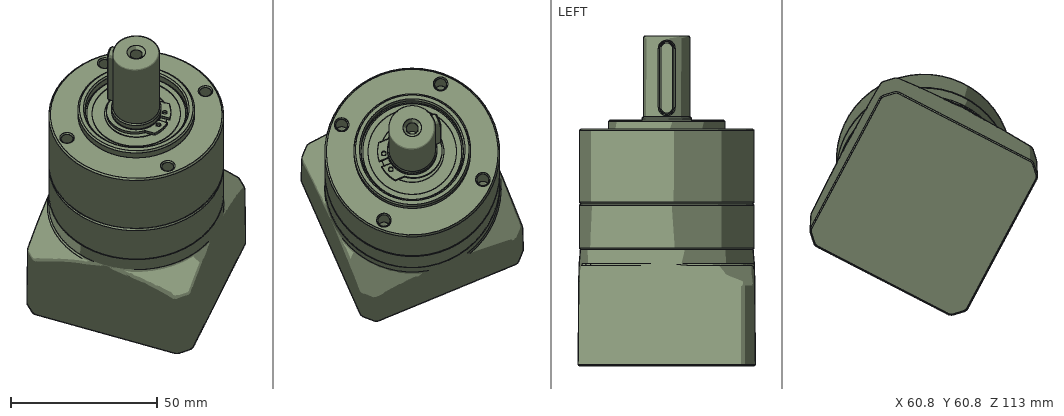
import cadquery as cq
import math


total_height = 113.0
adapter_top = 39.8
ring_gear_top = 55.5
housing_top = 81.1
pilot_top = 84.2
bearing_face = 81.7

body_radius = 30.0
body_chamfer = 0.6

adapter_side = 60.8
adapter_draft = 0.5
adapter_corner_flat = 4.1
adapter_corner_fillet = 2.5
adapter_foot_chamfer = 0.5
neck_top_radius = 29.6
neck_foot_radius = 30.1
neck_fillet = 1.0
shoulder_height = 34.6
shoulder_slope = 32.5
shoulder_fillet = 2.0

pilot_radius = 20.0
pilot_chamfer = 0.6
recess_chamfer = 0.6
mount_hole_pitch = 36.8
mount_hole_radius = 2.0
mount_hole_mouth_radius = 2.5
mount_hole_depth = 10.0
drill_point_angle = 118.0

bearing_width = 10.0
bearing_seat_bottom = bearing_face - bearing_width
bearing_outer_radius = 17.5
bearing_inner_radius = 8.5
bearing_chamfer = 0.6
inner_race_radius = 10.8
outer_race_bore_radius = 15.1
shield_setback = 0.2

shaft_radius = 8.0
shaft_tip_fillet = 0.9
journal_radius = bearing_inner_radius
journal_top = 85.3
journal_chamfer = journal_radius - shaft_radius
center_hole_radius = 2.0
center_hole_mouth_radius = 3.2
center_hole_depth = 12.4

key_width = 5.0
key_height = 5.0
key_length = 25.0
key_bottom = 86.1
key_top_offset = 9.8
key_chamfer = 0.5
keyway_chamfer = 0.5

circlip_thickness = 1.0
circlip_inner_radius = 8.1
circlip_outer_radius = 9.7
circlip_eccentricity = 0.6
circlip_ear_radius = 11.9
circlip_ear_width = 14.5
circlip_gap = 2.1
circlip_hole_radius = 0.8
circlip_hole_x = 9.3
circlip_hole_spacing = 6.1


def cylinder(radius, bottom, top):
    return cq.Workplane("XY").workplane(offset=bottom).circle(radius).extrude(top - bottom)


def tube(outer_radius, inner_radius, bottom, top):
    section = cq.Workplane("XY").workplane(offset=bottom).circle(outer_radius).circle(inner_radius)
    return section.extrude(top - bottom)


def revolved(profile):
    """Turn a closed (radius, height) outline about the Z axis."""
    return cq.Workplane("XZ").polyline(profile).close().revolve(360, (0, 0, 0), (0, 1, 0))


def polar(radius, angle):
    """Horizontal and vertical parts of a length that points at an angle in degrees."""
    return radius * math.cos(math.radians(angle)), radius * math.sin(math.radians(angle))


def make_adapter_block():
    """Drafted square block with 45 degree corner flats and rounded upright edges."""
    return (
        cq.Workplane("XY")
        .sketch()
        .rect(adapter_side, adapter_side)
        .vertices()
        .chamfer(adapter_corner_flat)
        .finalize()
        .extrude(adapter_top, taper=adapter_draft)
        .edges("not #Z")
        .fillet(adapter_corner_fillet)
    )


def make_adapter_cap():
    """Round body whose outline is the neck, a concave blend and the conical shoulder below it."""
    neck_lean = math.degrees(math.atan((neck_foot_radius - neck_top_radius) / (adapter_top - shoulder_height)))
    blend_turn = 90 - shoulder_slope - neck_lean
    tangent_length = neck_fillet * math.tan(math.radians(blend_turn / 2))
    up_x, up_z = polar(tangent_length, 90 + neck_lean)
    out_x, out_z = polar(tangent_length, -shoulder_slope)
    shoulder_base_radius = neck_foot_radius + shoulder_height / math.tan(math.radians(shoulder_slope))
    return (
        cq.Workplane("XZ")
        .moveTo(0, adapter_top)
        .lineTo(neck_top_radius, adapter_top)
        .lineTo(neck_foot_radius + up_x, shoulder_height + up_z)
        .tangentArcPoint((neck_foot_radius + out_x, shoulder_height + out_z), relative=False)
        .lineTo(shoulder_base_radius, 0)
        .lineTo(0, 0)
        .close()
        .revolve(360, (0, 0, 0), (0, 1, 0))
    )


def make_adapter():
    """Motor adapter whose shoulder meets the upright walls in a rounded, curved rim."""
    adapter = make_adapter_block().intersect(make_adapter_cap())
    adapter = adapter.edges("%HYPERBOLA or %BSPLINE").fillet(shoulder_fillet)
    return adapter.faces("<Z").edges().chamfer(adapter_foot_chamfer)


def make_ring_gear():
    """Round middle section, chamfered at both ends."""
    return cylinder(body_radius, adapter_top, ring_gear_top).edges().chamfer(body_chamfer)


def make_housing():
    """Output housing with a centring pilot, a blind bearing seat and four mounting holes."""
    housing = cylinder(body_radius, ring_gear_top, housing_top).edges().chamfer(body_chamfer)
    pilot = cylinder(pilot_radius, housing_top, pilot_top).faces(">Z").edges().chamfer(pilot_chamfer)
    housing = housing.union(pilot)

    mouth_radius = bearing_outer_radius + recess_chamfer
    seat = revolved([
        (0, bearing_seat_bottom),
        (bearing_outer_radius, bearing_seat_bottom),
        (bearing_outer_radius, pilot_top - recess_chamfer),
        (mouth_radius, pilot_top),
        (0, pilot_top),
    ])
    housing = housing.cut(seat)

    point_depth = mount_hole_radius / math.tan(math.radians(drill_point_angle / 2))
    mouth_depth = mount_hole_mouth_radius - mount_hole_radius
    hole = revolved([
        (0, housing_top),
        (mount_hole_mouth_radius, housing_top),
        (mount_hole_radius, housing_top - mouth_depth),
        (mount_hole_radius, housing_top - mount_hole_depth),
        (0, housing_top - mount_hole_depth - point_depth),
    ])
    for x_side in (-1, 1):
        for y_side in (-1, 1):
            place = (x_side * mount_hole_pitch / 2, y_side * mount_hole_pitch / 2, 0)
            housing = housing.cut(hole.translate(place))
    return housing


def make_inner_race():
    return tube(inner_race_radius, bearing_inner_radius, bearing_seat_bottom, bearing_face)


def make_shield():
    """Annular filling between the races, set slightly below their faces."""
    return tube(outer_race_bore_radius, inner_race_radius, bearing_seat_bottom, bearing_face - shield_setback)


def make_outer_race():
    race = tube(bearing_outer_radius, outer_race_bore_radius, bearing_seat_bottom, bearing_face)
    return race.faces(">Z").edges(cq.selectors.RadiusNthSelector(-1)).chamfer(bearing_chamfer)


def make_key_blank():
    """Round-ended bar on the -X side of the shaft; it also gives the shape of the keyway."""
    return (
        cq.Workplane("YZ", origin=(-key_top_offset, 0, key_bottom + key_length / 2))
        .slot2D(key_length, key_width, 90)
        .extrude(key_height)
    )


def make_key():
    return make_key_blank().faces("<X").edges().chamfer(key_chamfer)


def make_shaft():
    """Output shaft with a wider journal, a circlip groove, a keyway and a centre hole."""
    shaft = revolved([
        (0, bearing_seat_bottom),
        (journal_radius, bearing_seat_bottom),
        (journal_radius, journal_top - journal_chamfer),
        (shaft_radius, journal_top),
        (shaft_radius, total_height),
        (0, total_height),
    ])
    shaft = shaft.faces(">Z").edges().fillet(shaft_tip_fillet)

    shaft = shaft.cut(tube(journal_radius, circlip_inner_radius, bearing_face, bearing_face + circlip_thickness))

    shaft = shaft.cut(make_key_blank())
    keyway_rim = cq.selectors.BoxSelector(
        (-key_top_offset, -key_width, key_bottom - keyway_chamfer),
        (-shaft_radius + keyway_chamfer, key_width, key_bottom + key_length + keyway_chamfer),
    )
    shaft = shaft.edges(keyway_rim).chamfer(keyway_chamfer)

    mouth_depth = center_hole_mouth_radius - center_hole_radius
    center_hole = revolved([
        (0, total_height),
        (center_hole_mouth_radius, total_height),
        (center_hole_radius, total_height - mouth_depth),
        (center_hole_radius, total_height - center_hole_depth),
        (0, total_height - center_hole_depth),
    ])
    return shaft.cut(center_hole)


def make_circlip():
    """Eccentric retaining ring, open towards +X between two ears with plier holes."""
    top = bearing_face + circlip_thickness
    ring = cylinder(circlip_outer_radius, bearing_face, top).translate((-circlip_eccentricity, 0, 0))
    ear_band = (
        cq.Workplane("XY", origin=(0, 0, bearing_face))
        .rect(circlip_ear_radius, circlip_ear_width)
        .extrude(circlip_thickness)
        .translate((circlip_ear_radius / 2, 0, 0))
    )
    ears = cylinder(circlip_ear_radius, bearing_face, top).intersect(ear_band)
    gap = (
        cq.Workplane("XY", origin=(circlip_ear_radius / 2, 0, bearing_face))
        .rect(circlip_ear_radius, circlip_gap)
        .extrude(circlip_thickness)
    )
    plier_holes = (
        cq.Workplane("XY", origin=(circlip_hole_x, 0, bearing_face))
        .rarray(1.1, circlip_hole_spacing, 1, 2)
        .circle(circlip_hole_radius)
        .extrude(circlip_thickness)
    )
    bore = cylinder(circlip_inner_radius, bearing_face, top)
    return ring.union(ears).cut(bore).cut(gap).cut(plier_holes)


adapter = make_adapter()
ring_gear = make_ring_gear()
housing = make_housing()
inner_race = make_inner_race()
shield = make_shield()
outer_race = make_outer_race()
shaft = make_shaft()
key = make_key()
circlip = make_circlip()

result = cq.Compound.makeCompound([
    adapter.val(),
    ring_gear.val(),
    housing.val(),
    inner_race.val(),
    shield.val(),
    outer_race.val(),
    shaft.val(),
    key.val(),
    circlip.val(),
])